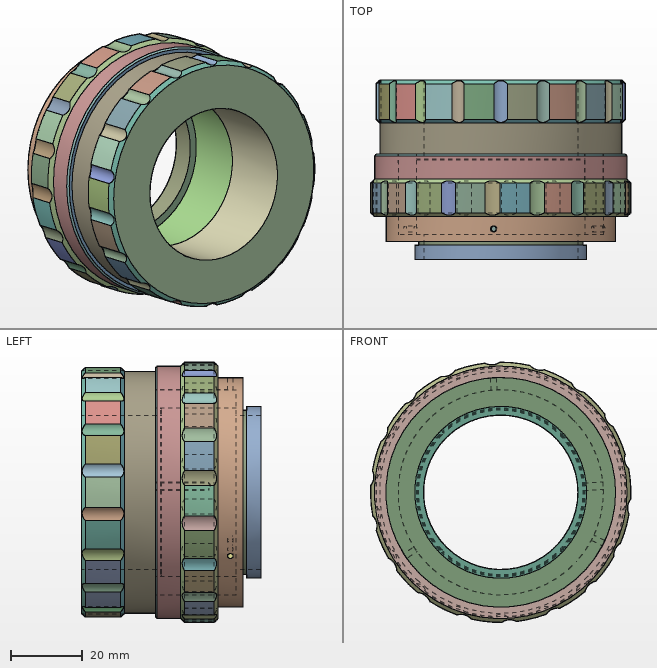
import cadquery as cq


NECK_LIP_END = 4.05
NECK_END = 5.0
MOUNT_SEAT = 6.95
MOUNT_END = 11.95
FRONT_GRIP_END = 22.4
SPIGOT_START = 27.8
COLLAR_END = 29.4
REAR_GRIP_START = 38.0
TOTAL_LENGTH = 50.0

CLEAR_BORE_R = 21.45
NECK_GROOVE_R = 22.9
SLEEVE_BORE_R = 23.5
NECK_LIP_R = 23.9
SLEEVE_R = 28.6
MOUNT_R = 32.0
BARREL_R = 33.7
REAR_GRIP_R = 34.8
COLLAR_R = 35.15
FRONT_GRIP_R = 36.25

COLLAR_CHAMFER = 0.5
SPIGOT_CHAMFER = 0.3

FLUTE_COUNT = 18
FRONT_FLUTE_DEPTH = 0.65
FRONT_FLUTE_CUTTER_R = 3.9
REAR_FLUTE_DEPTH = 0.9
REAR_FLUTE_CUTTER_R = 2.5

FRONT_TURN = 3.7
DATUM_ANGLE = 90
FRONT_FLUTE_ANGLE = DATUM_ANGLE + FRONT_TURN

CLAMP_COUNT = 3
CLAMP_HOLE_D = 1.6
CLAMP_HOLE_Y = 8.55
CLAMP_ANGLE = DATUM_ANGLE + FRONT_TURN

SLOT_WIDTH = 2.0
SLOT_START = 14.15
SLOT_ANGLE = FRONT_TURN


def turned(profile):
    """Solid of revolution about Y from (radius, y) points."""
    return cq.Workplane("XY").polyline(profile).close().revolve(360, (0, 0), (0, 1))


def along_y(radius, start, end, x=0.0):
    """Cylinder parallel to Y between two stations."""
    plane = cq.Workplane("XZ", origin=(0, start, 0))
    return plane.center(x, 0).circle(radius).extrude(start - end)


def turn(body, angle):
    """Turn a body about the Y axis, from +X towards +Z."""
    return body.rotate((0, 0, 0), (0, 1, 0), -angle)


def cut_flutes(body, grip_radius, depth, cutter_radius, first_angle, start, end):
    """Cut the evenly spaced flutes of one grip."""
    cutter = along_y(cutter_radius, start, end, grip_radius - depth + cutter_radius)
    for i in range(FLUTE_COUNT):
        body = body.cut(turn(cutter, first_angle + i * 360 / FLUTE_COUNT))
    return body


def make_mount():
    """Grooved neck and flange, with a rear seat for the sleeve and clamp holes."""
    body = turned([
        (CLEAR_BORE_R, 0),
        (NECK_LIP_R, 0),
        (NECK_LIP_R, NECK_LIP_END),
        (NECK_GROOVE_R, NECK_LIP_END),
        (NECK_GROOVE_R, NECK_END),
        (MOUNT_R, NECK_END),
        (MOUNT_R, MOUNT_END),
        (SLEEVE_R, MOUNT_END),
        (SLEEVE_R, MOUNT_SEAT),
        (CLEAR_BORE_R, MOUNT_SEAT),
    ])
    hole_plane = cq.Workplane("YZ", origin=(CLEAR_BORE_R, CLAMP_HOLE_Y, 0))
    drill = hole_plane.circle(CLAMP_HOLE_D / 2).extrude(FRONT_GRIP_R - CLEAR_BORE_R)
    for i in range(CLAMP_COUNT):
        body = body.cut(turn(drill, CLAMP_ANGLE + i * 360 / CLAMP_COUNT))
    return body


def make_sleeve():
    """Plain tube seated in the mount, with one guide slot."""
    body = along_y(SLEEVE_R, MOUNT_SEAT, COLLAR_END)
    body = body.cut(along_y(SLEEVE_BORE_R, MOUNT_SEAT, COLLAR_END))
    half = SLOT_WIDTH / 2
    slot = (
        cq.Workplane("ZY")
        .moveTo(half, COLLAR_END)
        .lineTo(half, SLOT_START + half)
        .threePointArc((0, SLOT_START), (-half, SLOT_START + half))
        .lineTo(-half, COLLAR_END)
        .close()
        .extrude(-FRONT_GRIP_R)
    )
    return body.cut(turn(slot, SLOT_ANGLE))


def make_focus_ring():
    """Fluted front grip and smooth collar running on the sleeve."""
    grip_chamfer = FRONT_GRIP_R - COLLAR_R
    body = turned([
        (SLEEVE_R, MOUNT_END),
        (COLLAR_R, MOUNT_END),
        (FRONT_GRIP_R, MOUNT_END + grip_chamfer),
        (FRONT_GRIP_R, FRONT_GRIP_END - grip_chamfer),
        (COLLAR_R, FRONT_GRIP_END),
        (COLLAR_R, COLLAR_END - COLLAR_CHAMFER),
        (COLLAR_R - COLLAR_CHAMFER, COLLAR_END),
        (SLEEVE_R, COLLAR_END),
    ])
    return cut_flutes(body, FRONT_GRIP_R, FRONT_FLUTE_DEPTH, FRONT_FLUTE_CUTTER_R,
                      FRONT_FLUTE_ANGLE, MOUNT_END, FRONT_GRIP_END)


def make_barrel():
    """Rear barrel with its fluted grip and a front spigot inside the sleeve."""
    grip_chamfer = REAR_GRIP_R - BARREL_R
    body = turned([
        (CLEAR_BORE_R, SPIGOT_START),
        (SLEEVE_BORE_R - SPIGOT_CHAMFER, SPIGOT_START),
        (SLEEVE_BORE_R, SPIGOT_START + SPIGOT_CHAMFER),
        (SLEEVE_BORE_R, COLLAR_END),
        (BARREL_R, COLLAR_END),
        (BARREL_R, REAR_GRIP_START),
        (REAR_GRIP_R, REAR_GRIP_START + grip_chamfer),
        (REAR_GRIP_R, TOTAL_LENGTH - grip_chamfer),
        (BARREL_R, TOTAL_LENGTH),
        (CLEAR_BORE_R, TOTAL_LENGTH),
    ])
    return cut_flutes(body, REAR_GRIP_R, REAR_FLUTE_DEPTH, REAR_FLUTE_CUTTER_R,
                      DATUM_ANGLE, REAR_GRIP_START, TOTAL_LENGTH)


mount = make_mount()
sleeve = make_sleeve()
focus_ring = make_focus_ring()
barrel = make_barrel()

result = cq.Compound.makeCompound([mount.val(), sleeve.val(), focus_ring.val(), barrel.val()])